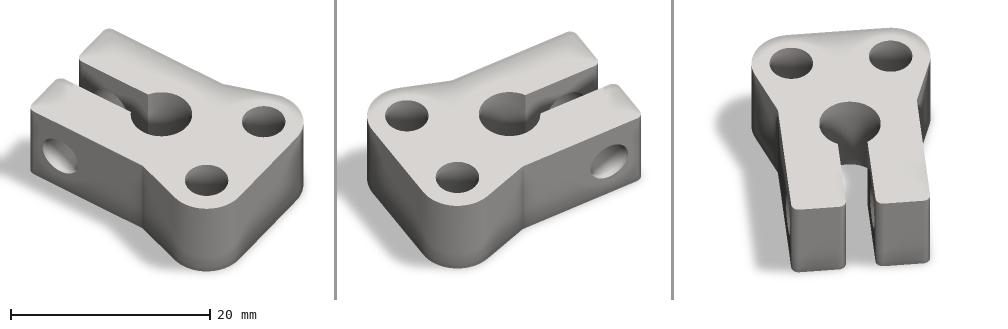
import cadquery as cq
import math

length = 24.5
width = 18.0
thickness = 9.0

arms_width = 14.01
arms_straight_length = 14.09
slot_width = 3.0
arm_corner_radius = 0.75

ear_radius = 4.0
ear_x = length - ear_radius
ear_y = width / 2 - ear_radius

bolt_hole_diameter = 4.35
clamp_bolt_x = 4.02
bore_diameter = 6.17
bore_x = 11.5


def ear_point(angle):
    """Point on the +Y ear's circle at an angle in radians from +X."""
    return ear_x + ear_radius * math.cos(angle), ear_y + ear_radius * math.sin(angle)


def mirrored(point):
    return point[0], -point[1]


def make_body():
    """Outline with tapered flanks that run tangentially into the ears."""
    shoulder = (arms_straight_length, arms_width / 2)
    offset_x = ear_x - shoulder[0]
    offset_y = ear_y - shoulder[1]
    taper_angle = math.atan2(offset_y, offset_x) + math.asin(
        ear_radius / math.hypot(offset_x, offset_y)
    )
    tangent_angle = taper_angle + math.pi / 2
    ear_start = ear_point(tangent_angle)
    ear_middle = ear_point(tangent_angle / 2)
    ear_end = ear_point(0)
    return (
        cq.Workplane("XY")
        .moveTo(0, arms_width / 2)
        .lineTo(*shoulder)
        .lineTo(*ear_start)
        .threePointArc(ear_middle, ear_end)
        .lineTo(*mirrored(ear_end))
        .threePointArc(mirrored(ear_middle), mirrored(ear_start))
        .lineTo(*mirrored(shoulder))
        .lineTo(0, -arms_width / 2)
        .close()
        .extrude(thickness)
    )


def vertical_hole(x, y, diameter):
    return cq.Workplane("XY").center(x, y).circle(diameter / 2).extrude(thickness)


slot = cq.Workplane("XY").box(bore_x, slot_width, thickness, centered=(False, True, False))
result = make_body().cut(slot)
result = result.faces("<X").edges("|Z").fillet(arm_corner_radius)

result = result.cut(vertical_hole(bore_x, 0, bore_diameter))
for side in (-1, 1):
    result = result.cut(vertical_hole(ear_x, side * ear_y, bolt_hole_diameter))

clamp_hole = (
    cq.Workplane("XZ")
    .center(clamp_bolt_x, thickness / 2)
    .circle(bolt_hole_diameter / 2)
    .extrude(arms_width / 2, both=True)
)
result = result.cut(clamp_hole)